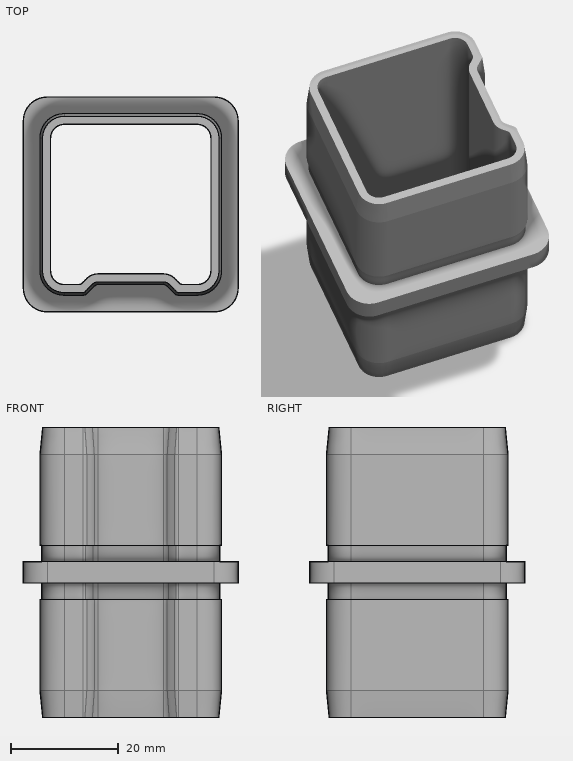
import cadquery as cq
import math

length = 54.0
flange_size = 40.0
flange_thickness = 4.0
flange_corner_radius = 4.5

sleeve_size = 33.8
sleeve_corner_radius = 4.55
neck_inset = 0.3
tip_inset = 0.5
neck_length = 3.0
tip_length = 5.0

wall = 1.5
bore_inset = tip_inset + wall
bore_ramp_radius = 1.0

groove_depth = 2.0
groove_outer_half_width = 8.5
groove_edge_radius = 1.0
groove_root_radius = 1.0
ramp_angle = math.radians(45)


def rounded_outline(corners, z):
    """Closed wire at height z through (x, y, radius) corners, with tangent arcs at the corners."""
    arcs = []
    for i, (x, y, radius) in enumerate(corners):
        corner = cq.Vector(x, y, z)
        before = corners[i - 1]
        after = corners[(i + 1) % len(corners)]
        to_before = (cq.Vector(before[0], before[1], z) - corner).normalized()
        to_after = (cq.Vector(after[0], after[1], z) - corner).normalized()
        half_angle = to_before.getAngle(to_after) / 2
        setback = radius / math.tan(half_angle)
        middle_gap = radius / math.sin(half_angle) - radius
        bisector = (to_before + to_after).normalized()
        arc_start = corner + to_before * setback
        arc_middle = corner + bisector * middle_gap
        arc_end = corner + to_after * setback
        arcs.append((arc_start, arc_middle, arc_end))

    edges = []
    for i, (start, middle, end) in enumerate(arcs):
        edges.append(cq.Edge.makeLine(arcs[i - 1][2], start))
        edges.append(cq.Edge.makeThreePointArc(start, middle, end))
    return cq.Wire.assembleEdges(edges)


def grooved_square(inset, edge_radius, z):
    """Grooved square outline at height z, moved inward from the full-size band by inset."""
    half = sleeve_size / 2 - inset
    corner_radius = sleeve_corner_radius - inset
    root_radius = groove_root_radius + inset
    floor_y = -half + groove_depth
    edge_x = groove_outer_half_width + inset * math.tan(ramp_angle / 2)
    root_x = edge_x - groove_depth / math.tan(ramp_angle)
    return rounded_outline(
        [
            (half, half, corner_radius),
            (-half, half, corner_radius),
            (-half, -half, corner_radius),
            (-edge_x, -half, edge_radius),
            (-root_x, floor_y, root_radius),
            (root_x, floor_y, root_radius),
            (edge_x, -half, edge_radius),
            (half, -half, corner_radius),
        ],
        z,
    )


def outer_outline(inset, z):
    return grooved_square(inset, groove_edge_radius - inset, z)


def bore_outline(z):
    return grooved_square(bore_inset, bore_ramp_radius, z)


def loft(lower_wire, upper_wire):
    return cq.Workplane(cq.Solid.makeLoft([lower_wire, upper_wire], True))


def half_sleeve():
    """Upper half of the sleeve: neck, full-size band and tapered tip."""
    neck_top = flange_thickness / 2 + neck_length
    tip_base = length / 2 - tip_length
    neck = loft(outer_outline(neck_inset, 0), outer_outline(neck_inset, neck_top))
    band = loft(outer_outline(0, neck_top), outer_outline(0, tip_base))
    tip = loft(outer_outline(0, tip_base), outer_outline(tip_inset, length / 2))
    return neck.union(band).union(tip)


flange = (
    cq.Workplane("XY")
    .box(flange_size, flange_size, flange_thickness)
    .edges("|Z")
    .fillet(flange_corner_radius)
)
upper = half_sleeve()
lower = upper.mirror("XY")
bore = loft(bore_outline(-length / 2), bore_outline(length / 2))

result = flange.union(upper).union(lower).cut(bore)